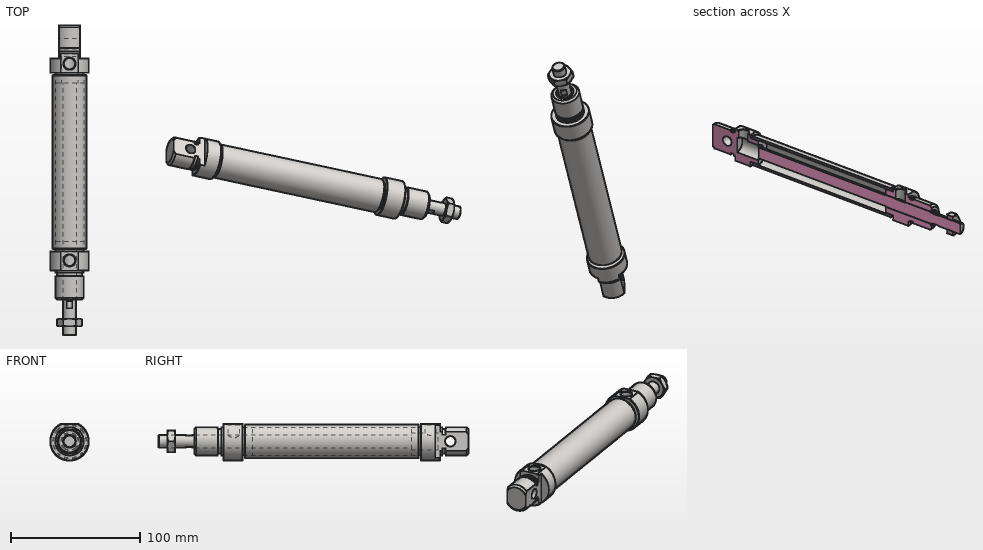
import cadquery as cq
import math

TOTAL_LENGTH = 240.0

ROD_DIAMETER = 10.0
ROD_TIP_CHAMFER = 0.6
ROD_FLATS_WIDTH = 9.0
ROD_FLATS_START = 21.0
ROD_FLATS_LENGTH = 5.3

NUT_WIDTH = 17.0
NUT_START = 7.0
NUT_LENGTH = 6.0
NUT_CHAMFER_ANGLE = 30.0

FLANGE_DIAMETER = 30.0
FLANGE_LENGTH = 15.0
FLANGE_TOP_Z = 13.5
FLANGE_CHAMFER = 0.35
PORT_DIAMETER = 8.6
PORT_MOUTH_DIAMETER = 9.5
PORT_OFFSET = 7.2

SPIGOT_DIAMETER = 22.0
SPIGOT_CHAMFER = 1.7
GROOVE_DIAMETER = 19.5
GROOVE_TAPER = 0.5
GROOVE_START_OFFSET = 1.55
GROOVE_END_OFFSET = 4.3

FRONT_SPIGOT_END = 27.5
FRONT_FLANGE_OUTER = 50.2
FRONT_FLANGE_INNER = FRONT_FLANGE_OUTER + FLANGE_LENGTH
REAR_FLANGE_INNER = 203.0
REAR_FLANGE_OUTER = REAR_FLANGE_INNER + FLANGE_LENGTH

RECESS_DIAMETER = 13.0
RECESS_MOUTH_DIAMETER = 14.0
RECESS_DEPTH = 1.0

LUG_WIDTH = 16.3
LUG_FLAT_START = 214.3
PIVOT_HOLE_DIAMETER = 8.0
PIVOT_HOLE_Y = 225.8
REAR_BORE_DIAMETER = 13.0
REAR_BORE_END = 216.0

TUBE_DIAMETER = 26.5
TUBE_CHAMFER = 0.6
TUBE_GAP = 1.5
NECK_DIAMETER = 21.8
PLUG_LENGTH = 6.0
TUBE_START = FRONT_FLANGE_INNER + TUBE_GAP
TUBE_END = REAR_FLANGE_INNER - TUBE_GAP
FRONT_PLUG_END = TUBE_START + PLUG_LENGTH
REAR_PLUG_END = TUBE_END - PLUG_LENGTH


def cylinder(diameter, start, end):
    """A round bar on the cylinder axis from Y = start to Y = end."""
    bar = cq.Workplane("XZ", origin=(0, start, 0)).circle(diameter / 2)
    return bar.extrude(start - end)


def cone(start_diameter, end_diameter, start, end):
    """A truncated cone on the cylinder axis from Y = start to Y = end."""
    profile = [
        (0, start),
        (start_diameter / 2, start),
        (end_diameter / 2, end),
        (0, end),
    ]
    return cq.Workplane("XY").polyline(profile).close().revolve(360, (0, 0), (0, 1))


def make_flange(start):
    """A flange block with its flat top, from Y = start."""
    block = cylinder(FLANGE_DIAMETER, start, start + FLANGE_LENGTH).edges().chamfer(FLANGE_CHAMFER)
    below_top = cq.Workplane("XY").box(
        FLANGE_DIAMETER, 2 * TOTAL_LENGTH, FLANGE_TOP_Z + FLANGE_DIAMETER / 2
    )
    below_top = below_top.translate((0, 0, (FLANGE_TOP_Z - FLANGE_DIAMETER / 2) / 2))
    return block.intersect(below_top)


def cut_port(cap, y):
    """Cut a countersunk port from the flange top down to the axis."""
    mouth_depth = (PORT_MOUTH_DIAMETER - PORT_DIAMETER) / 2
    hole = cq.Workplane("XY", origin=(0, y, 0)).circle(PORT_DIAMETER / 2).extrude(FLANGE_TOP_Z)
    mouth = (
        cq.Workplane("XY", origin=(0, y, FLANGE_TOP_Z))
        .circle(PORT_MOUTH_DIAMETER / 2)
        .workplane(offset=-mouth_depth)
        .circle(PORT_DIAMETER / 2)
        .loft()
    )
    return cap.cut(hole).cut(mouth)


def make_spigot(flange_face, end):
    """A mounting spigot with a relief groove near the flange and a chamfered end."""
    direction = 1 if end > flange_face else -1
    groove_start = flange_face + direction * GROOVE_START_OFFSET
    groove_end = flange_face + direction * GROOVE_END_OFFSET
    chamfer_start = end - direction * SPIGOT_CHAMFER
    collar = cylinder(SPIGOT_DIAMETER, flange_face, groove_start)
    groove = cylinder(GROOVE_DIAMETER, groove_start, groove_end)
    taper_start = groove_end - direction * GROOVE_TAPER
    taper = cone(GROOVE_DIAMETER, GROOVE_DIAMETER + 2 * GROOVE_TAPER, taper_start, groove_end)
    shank = cylinder(SPIGOT_DIAMETER, groove_end, chamfer_start)
    tip = cone(SPIGOT_DIAMETER, SPIGOT_DIAMETER - 2 * SPIGOT_CHAMFER, chamfer_start, end)
    return collar.union(groove).union(taper).union(shank).union(tip)


def make_front_cap():
    cap = make_flange(FRONT_FLANGE_OUTER)
    cap = cap.union(make_spigot(FRONT_FLANGE_OUTER, FRONT_SPIGOT_END))
    cap = cap.union(cylinder(NECK_DIAMETER, FRONT_FLANGE_INNER, FRONT_PLUG_END))
    cap = cap.cut(cylinder(ROD_DIAMETER, FRONT_SPIGOT_END, FRONT_PLUG_END))
    mouth_depth = (RECESS_MOUTH_DIAMETER - RECESS_DIAMETER) / 2
    mouth_end = FRONT_SPIGOT_END + mouth_depth
    cap = cap.cut(cylinder(RECESS_DIAMETER, FRONT_SPIGOT_END, FRONT_SPIGOT_END + RECESS_DEPTH))
    cap = cap.cut(cone(RECESS_MOUTH_DIAMETER, RECESS_DIAMETER, FRONT_SPIGOT_END, mouth_end))
    return cut_port(cap, FRONT_FLANGE_INNER - PORT_OFFSET)


def make_rear_cap():
    cap = make_flange(REAR_FLANGE_INNER)
    cap = cap.union(make_spigot(REAR_FLANGE_OUTER, TOTAL_LENGTH))

    side_depth = FLANGE_DIAMETER
    flat_length = TOTAL_LENGTH - LUG_FLAT_START
    for side in (-1, 1):
        side_cut = cq.Workplane("XY").box(side_depth, flat_length, 2 * FLANGE_DIAMETER)
        side_cut = side_cut.translate(
            (side * (LUG_WIDTH + side_depth) / 2, LUG_FLAT_START + flat_length / 2, 0)
        )
        cap = cap.cut(side_cut)

    pivot_hole = cq.Workplane("YZ").center(PIVOT_HOLE_Y, 0).circle(PIVOT_HOLE_DIAMETER / 2)
    cap = cap.cut(pivot_hole.extrude(LUG_WIDTH, both=True))

    cap = cap.union(cylinder(NECK_DIAMETER, REAR_PLUG_END, REAR_FLANGE_INNER))
    cap = cap.cut(cylinder(REAR_BORE_DIAMETER, REAR_PLUG_END, REAR_BORE_END))
    return cut_port(cap, REAR_FLANGE_INNER + PORT_OFFSET)


def make_tube():
    tube = cylinder(TUBE_DIAMETER, TUBE_START, TUBE_END).edges().chamfer(TUBE_CHAMFER)
    return tube.cut(cylinder(NECK_DIAMETER, TUBE_START, TUBE_END))


def make_rod():
    rod = cylinder(ROD_DIAMETER, 0, REAR_PLUG_END).faces("<Y").chamfer(ROD_TIP_CHAMFER)
    for side in (-1, 1):
        flat_cut = cq.Workplane("XY").box(ROD_DIAMETER, ROD_FLATS_LENGTH, ROD_DIAMETER)
        flat_cut = flat_cut.translate(
            (0, ROD_FLATS_START + ROD_FLATS_LENGTH / 2, side * (ROD_FLATS_WIDTH + ROD_DIAMETER) / 2)
        )
        rod = rod.cut(flat_cut)
    return rod


def make_nut():
    corner_diameter = NUT_WIDTH / math.cos(math.radians(30))
    nut_end = NUT_START + NUT_LENGTH
    hexagon = cq.Workplane("XZ", origin=(0, NUT_START, 0)).polygon(6, corner_diameter)
    nut = hexagon.extrude(-NUT_LENGTH)

    corner_height = (corner_diameter - NUT_WIDTH) / 2 * math.tan(math.radians(NUT_CHAMFER_ANGLE))
    envelope = (
        cone(NUT_WIDTH, corner_diameter, NUT_START, NUT_START + corner_height)
        .union(cylinder(corner_diameter, NUT_START + corner_height, nut_end - corner_height))
        .union(cone(corner_diameter, NUT_WIDTH, nut_end - corner_height, nut_end))
    )
    return nut.intersect(envelope).cut(cylinder(ROD_DIAMETER, NUT_START, nut_end))


front_cap = make_front_cap()
rear_cap = make_rear_cap()
tube = make_tube()
rod = make_rod()
nut = make_nut()

result = cq.Compound.makeCompound(
    [front_cap.val(), rear_cap.val(), tube.val(), rod.val(), nut.val()]
)